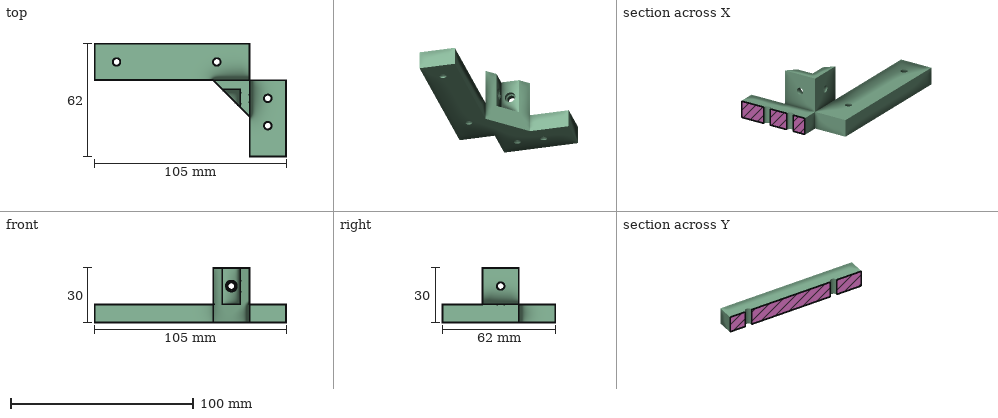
import cadquery as cq

arm_width = 20.0
arm_thickness = 10.0
long_arm_length = 85.0
short_arm_length = 42.0

bracket_leg = 20.0
bracket_height = 30.0
wall_thickness = 5.0

hole_diameter = 4.02
recess_diameter = 6.02
recess_depth = 2.0
long_arm_hole_xs = (12.0, 67.0)
short_arm_hole_ys = (17.0, 32.0)

corner_x = long_arm_length
corner_y = short_arm_length


def make_arm(x, y, length_x, length_y):
    """Rectangular bar resting on Z = 0 with its minimum corner at (x, y)."""
    bar = cq.Workplane("XY").box(length_x, length_y, arm_thickness, centered=False)
    return bar.translate((x, y, 0))


def make_triangle_prism(right_angle_x, right_angle_y, leg, bottom_z, height):
    """Right-angled prism whose legs run toward -X and -Y."""
    return (
        cq.Workplane("XY", origin=(right_angle_x, right_angle_y, bottom_z))
        .polyline([(0, 0), (-leg, 0), (0, -leg)])
        .close()
        .extrude(height)
    )


def make_cylinder(diameter, length, start, direction):
    """Cylinder whose first end is centred on start and whose axis follows direction."""
    solid = cq.Solid.makeCylinder(diameter / 2, length, cq.Vector(*start), cq.Vector(*direction))
    return cq.Workplane(solid)


def make_arm_hole(x, y):
    """Vertical hole through the full arm thickness."""
    return make_cylinder(hole_diameter, arm_thickness, (x, y, 0), (0, 0, 1))


def make_wall_hole(start, direction):
    """Screw hole through a bracket wall, recessed on the pocket side."""
    hole = make_cylinder(hole_diameter, wall_thickness, start, direction)
    recess = make_cylinder(recess_diameter, recess_depth, start, direction)
    return hole.union(recess)


long_arm = make_arm(0, corner_y, long_arm_length, arm_width)
short_arm = make_arm(corner_x, 0, arm_width, short_arm_length)

pocket_x = corner_x - wall_thickness
pocket_y = corner_y - wall_thickness
pocket_leg = bracket_leg - 2 * wall_thickness
bracket = make_triangle_prism(corner_x, corner_y, bracket_leg, 0, bracket_height)
pocket_height = bracket_height - arm_thickness
pocket = make_triangle_prism(pocket_x, pocket_y, pocket_leg, arm_thickness, pocket_height)
bracket = bracket.cut(pocket)

result = long_arm.union(bracket).union(short_arm)

for hole_x in long_arm_hole_xs:
    result = result.cut(make_arm_hole(hole_x, corner_y + arm_width / 2))
for hole_y in short_arm_hole_ys:
    result = result.cut(make_arm_hole(corner_x + arm_width / 2, hole_y))

half_pocket = pocket_leg / 2
wall_hole_z = arm_thickness + pocket_height / 2
result = result.cut(make_wall_hole((pocket_x - half_pocket, pocket_y, wall_hole_z), (0, 1, 0)))
result = result.cut(make_wall_hole((pocket_x, pocket_y - half_pocket, wall_hole_z), (1, 0, 0)))